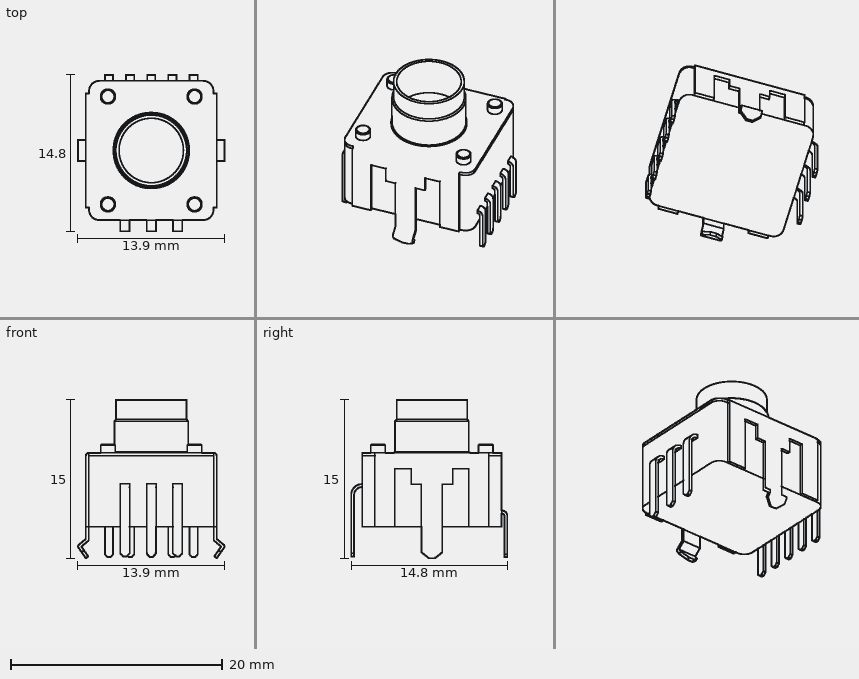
import cadquery as cq
import math

body_x = 11.8
body_y = 13.2
body_top = 7.0
corner_radius = 1.0
sheet = 0.3

bushing_top = body_top + 5.0
bushing_diameter = 7.0
bushing_neck_diameter = 6.7
bushing_bore_diameter = 6.1
bushing_bore_depth = 3.8
bushing_shoulder_z = body_top + 3.0
bushing_root_chamfer = 0.1

stud_diameter = 1.4
stud_height = 0.8
stud_chamfer = 0.1
stud_x = 4.1
stud_y = 5.1

flap_width = 10.8
window_width = 7.0
window_height = 5.5
neck_width = 3.95
neck_bottom = 4.0
leg_width = 2.0

hook_start_z = -1.15
hook_out_length = 1.05
hook_out_angle = math.radians(50)
hook_in_length = 1.41
hook_in_angle = math.radians(35)
hook_elbow_radius = 0.2
hook_bend_radius = 0.1
hook_tip_chamfer = 0.7

front_pitch = 2.5
front_count = 3
front_width = 0.9
front_top = 4.05
front_reach = 1.05
front_bottom = -2.82
front_tip_chamfer = 0.3

rear_pitch = 2.0
rear_count = 5
rear_width = 0.8
rear_top = 1.55
rear_reach = 0.55
rear_bottom = -2.87
rear_tip_chamfer = 0.25


def rounded_slab(bottom, top):
    """Slab with the housing outline between two heights."""
    slab = cq.Workplane("XY").workplane(offset=bottom).rect(body_x, body_y).extrude(top - bottom)
    return slab.edges("|Z").fillet(corner_radius)


def make_bushing():
    """Stepped hollow bushing, revolved about Z, flared where it meets the cover plate."""
    radius = bushing_diameter / 2
    neck_radius = bushing_neck_diameter / 2
    bore_radius = bushing_bore_diameter / 2
    floor_z = bushing_top - bushing_bore_depth
    outline = [
        (0, body_top),
        (radius + bushing_root_chamfer, body_top),
        (radius, body_top + bushing_root_chamfer),
        (radius, bushing_shoulder_z),
        (neck_radius, bushing_shoulder_z + radius - neck_radius),
        (neck_radius, bushing_top),
        (bore_radius, bushing_top),
        (bore_radius, floor_z),
        (0, floor_z),
    ]
    return cq.Workplane("XZ").polyline(outline).close().revolve(360, (0, 0, 0), (0, 1, 0))


def make_studs():
    """Four short studs with chamfered tops."""
    spots = [(sx * stud_x, sy * stud_y) for sx in (-1, 1) for sy in (-1, 1)]
    studs = cq.Workplane("XY").workplane(offset=body_top).pushPoints(spots)
    return studs.circle(stud_diameter / 2).extrude(stud_height).faces(">Z").chamfer(stud_chamfer)


def make_flap():
    """Side flap on +X, rounded at the top, with the window around the leg cut out."""
    inner_x = body_x / 2
    outer_x = inner_x + sheet
    bend_mid = sheet * math.sqrt(0.5)
    flap = (
        cq.Workplane("XZ")
        .moveTo(inner_x, 0)
        .lineTo(outer_x, 0)
        .lineTo(outer_x, body_top - sheet)
        .threePointArc((inner_x + bend_mid, body_top - sheet + bend_mid), (inner_x, body_top))
        .close()
        .extrude(flap_width / 2, both=True)
    )

    def flap_block(width, bottom, top):
        return cq.Workplane("XY").box(sheet, width, top - bottom, centered=(False, True, False)).translate(
            (inner_x, 0, bottom)
        )

    window = flap_block(window_width, 0, window_height)
    window = window.cut(flap_block(neck_width, neck_bottom, window_height))
    window = window.cut(flap_block(leg_width, 0, neck_bottom))
    return flap.cut(window)


def make_hook():
    """Bent sheet hook continuing the leg on +X below the housing."""
    outer_x = body_x / 2 + sheet

    bend = (outer_x, hook_start_z)
    elbow = (
        bend[0] + hook_out_length * math.sin(hook_out_angle),
        bend[1] - hook_out_length * math.cos(hook_out_angle),
    )
    tip = (
        elbow[0] - hook_in_length * math.sin(hook_in_angle),
        elbow[1] - hook_in_length * math.cos(hook_in_angle),
    )

    inner_bend = (outer_x - sheet, hook_start_z - sheet * math.tan(hook_out_angle / 2))
    miter = sheet / math.cos((hook_out_angle + hook_in_angle) / 2)
    miter_angle = (hook_out_angle - hook_in_angle) / 2
    inner_elbow = (elbow[0] - miter * math.cos(miter_angle), elbow[1] - miter * math.sin(miter_angle))
    inner_tip = (tip[0] - sheet * math.cos(hook_in_angle), tip[1] + sheet * math.sin(hook_in_angle))

    outline = [(outer_x, 0), bend, elbow, tip, inner_tip, inner_elbow, inner_bend, (outer_x - sheet, 0)]
    hook = cq.Workplane("XZ").polyline(outline).close().extrude(leg_width / 2, both=True)

    def edge_at(x, y, z):
        return cq.selectors.NearestToPointSelector((x, y, z))

    hook = hook.edges(edge_at(elbow[0], 0, elbow[1])).fillet(hook_elbow_radius)
    hook = hook.edges(edge_at(bend[0], 0, bend[1])).fillet(hook_bend_radius)
    tip_x = (tip[0] + inner_tip[0]) / 2
    tip_z = (tip[1] + inner_tip[1]) / 2
    for side in (-1, 1):
        hook = hook.edges(edge_at(tip_x, side * leg_width / 2, tip_z)).chamfer(hook_tip_chamfer)
    return hook


def make_cover():
    """Cover plate with bushing, studs, two side flaps and their snap hooks."""
    cover = rounded_slab(body_top - sheet, body_top).union(make_bushing()).union(make_studs())
    side = make_flap().union(make_hook())
    return cover.union(side).union(side.mirror("YZ"))


def make_terminal(width, top, reach, bottom, tip_chamfer):
    """Terminal on the -Y face: quarter bend out of the housing, then straight down."""
    face_y = -body_y / 2
    bend_z = top - reach
    inner_radius = reach - sheet
    diagonal = math.sqrt(0.5)
    terminal = (
        cq.Workplane("YZ")
        .moveTo(face_y, top)
        .threePointArc((face_y - reach * diagonal, bend_z + reach * diagonal), (face_y - reach, bend_z))
        .lineTo(face_y - reach, bottom)
        .lineTo(face_y - inner_radius, bottom)
        .lineTo(face_y - inner_radius, bend_z)
        .threePointArc(
            (face_y - inner_radius * diagonal, bend_z + inner_radius * diagonal), (face_y, top - sheet)
        )
        .close()
        .extrude(width / 2, both=True)
    )
    return terminal.faces("<Z").edges("|Y").chamfer(tip_chamfer)


def make_terminal_row(terminal, count, pitch):
    """Copies of a terminal spaced evenly along X about the centre."""
    return [terminal.translate(((i - (count - 1) / 2) * pitch, 0, 0)) for i in range(count)]


base = rounded_slab(0, body_top - sheet)
cover = make_cover()

front_terminal = make_terminal(front_width, front_top, front_reach, front_bottom, front_tip_chamfer)
front_terminals = make_terminal_row(front_terminal, front_count, front_pitch)

rear_terminal = make_terminal(rear_width, rear_top, rear_reach, rear_bottom, rear_tip_chamfer).mirror("XZ")
rear_terminals = make_terminal_row(rear_terminal, rear_count, rear_pitch)

result = cq.Compound.makeCompound(
    [base.val(), cover.val()] + [terminal.val() for terminal in front_terminals + rear_terminals]
)